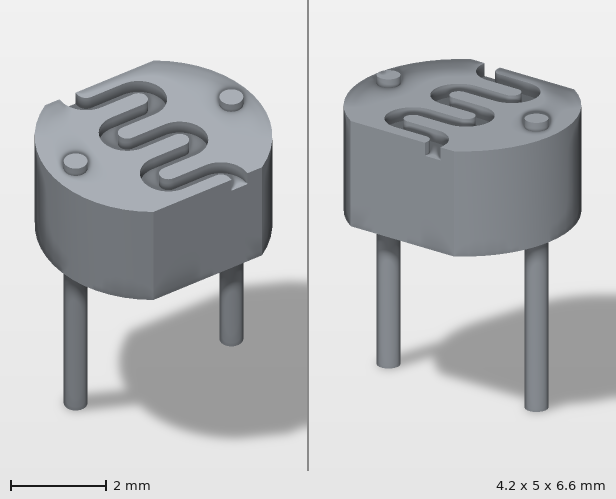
import cadquery as cq

body_diameter = 5.0
body_width = 4.2
body_height = 2.4

lead_diameter = 0.5
lead_spacing = 3.9
lead_length = 6.6
lead_below_body = 4.0

groove_width = 0.4
groove_depth = 0.3
run_pitch = 0.8
run_count = 5
run_length = 0.8

bend_radius = run_pitch / 2
groove_floor = body_height - groove_depth
first_run_x = -run_pitch * (run_count - 1) / 2
end_bend_x = run_pitch * run_count / 2


def make_body():
    disc = cq.Workplane("XY").circle(body_diameter / 2).extrude(body_height)
    flats = cq.Workplane("XY").box(
        body_width, body_diameter, body_height, centered=(True, True, False)
    )
    return disc.intersect(flats)


def make_leads():
    return (
        cq.Workplane("XY", origin=(0, 0, -lead_below_body))
        .pushPoints([(0, -lead_spacing / 2), (0, lead_spacing / 2)])
        .circle(lead_diameter / 2)
        .extrude(lead_length)
    )


def groove_block(x_min, x_max, y_min, y_max):
    return (
        cq.Workplane("XY", origin=(0, 0, groove_floor))
        .center((x_min + x_max) / 2, (y_min + y_max) / 2)
        .rect(x_max - x_min, y_max - y_min)
        .extrude(groove_depth)
    )


def groove_bend(x, side, x_min, x_max):
    """Arc beyond the run ends on the given Y side, kept between x_min and x_max."""
    y = side * run_length / 2
    outer_radius = bend_radius + groove_width / 2
    ring = (
        cq.Workplane("XY", origin=(x, y, groove_floor))
        .circle(outer_radius)
        .circle(bend_radius - groove_width / 2)
        .extrude(groove_depth)
    )
    y_far = y + side * outer_radius
    return ring.intersect(groove_block(x_min, x_max, min(y, y_far), max(y, y_far)))


def cut_groove(body):
    for i in range(run_count):
        x = first_run_x + i * run_pitch
        body = body.cut(
            groove_block(x - groove_width / 2, x + groove_width / 2, -run_length / 2, run_length / 2)
        )

    reach = bend_radius + groove_width / 2
    for i in range(run_count - 1):
        x = first_run_x + (i + 0.5) * run_pitch
        side = 1 if i % 2 == 0 else -1
        body = body.cut(groove_bend(x, side, x - reach, x + reach))

    body = body.cut(groove_bend(-end_bend_x, -1, -end_bend_x, -end_bend_x + reach))
    body = body.cut(groove_bend(end_bend_x, 1, end_bend_x - reach, end_bend_x))
    exit_near = run_length / 2 + bend_radius - groove_width / 2
    exit_far = exit_near + groove_width
    body = body.cut(groove_block(-body_width / 2, -end_bend_x, -exit_far, -exit_near))
    return body.cut(groove_block(end_bend_x, body_width / 2, exit_near, exit_far))


result = cut_groove(make_body()).union(make_leads())